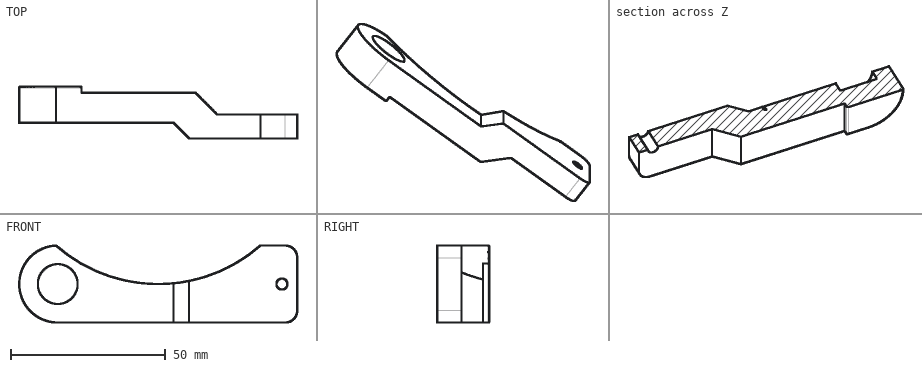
import cadquery as cq
import math

length = 90.0
height = 25.0
eye_radius = height / 2
mid_height = height / 2

boss_height = 2.0
boss_end_x = 20.2
eye_thickness = 9.74
tab_thickness = 7.87
front_step = 5.13
front_bend_end_x = 55.0
back_bend_x = 57.0

saddle_radius = 50.0
saddle_x = length / 2
saddle_low_z = mid_height

corner_radius = 4.0
boss_fillet = 0.5
pocket_diameter = 12.9
pocket_depth = 3.6
pin_diameter = 3.5
pin_edge_distance = 5.0

tab_back_y = tab_thickness
eye_front_y = front_step
eye_back_y = eye_front_y + eye_thickness
boss_back_y = eye_back_y + boss_height
back_step = eye_back_y - tab_back_y


def cylinder_along_y(x, z, radius, start_y, depth):
    """Cylinder running in +Y from start_y."""
    return cq.Workplane("XY").add(
        cq.Solid.makeCylinder(radius, depth, cq.Vector(x, start_y, z), cq.Vector(0, 1, 0))
    )


def side_profile():
    """Outline in XZ, extruded through the full Y depth: round eye, saddle, tab with rounded corners."""
    saddle_z = saddle_low_z + saddle_radius
    half_chord = math.sqrt(saddle_radius**2 - (saddle_z - height) ** 2)
    saddle_start_x = saddle_x - half_chord
    eye_top_z = mid_height + math.sqrt(eye_radius**2 - (saddle_start_x - eye_radius) ** 2)
    corner_inset = corner_radius * (1 - math.sqrt(0.5))
    return (
        cq.Workplane("XZ")
        .moveTo(eye_radius, 0)
        .lineTo(length - corner_radius, 0)
        .threePointArc((length - corner_inset, corner_inset), (length, corner_radius))
        .lineTo(length, height - corner_radius)
        .threePointArc((length - corner_inset, height - corner_inset), (length - corner_radius, height))
        .lineTo(saddle_x + half_chord, height)
        .threePointArc((saddle_x, saddle_low_z), (saddle_start_x, eye_top_z))
        .threePointArc((0, mid_height), (eye_radius, 0))
        .close()
        .extrude(-boss_back_y)
    )


def offset_profile():
    """Outline in XY of the cranked plate and the raised pad, extruded through the full height."""
    return (
        cq.Workplane("XY")
        .polyline([
            (0, eye_front_y),
            (front_bend_end_x - front_step, eye_front_y),
            (front_bend_end_x, 0),
            (length, 0),
            (length, tab_back_y),
            (back_bend_x + back_step, tab_back_y),
            (back_bend_x, eye_back_y),
            (boss_end_x, eye_back_y),
            (boss_end_x, boss_back_y),
            (0, boss_back_y),
        ])
        .close()
        .extrude(height)
    )


body = side_profile().intersect(offset_profile())
body = body.faces(">Y").fillet(boss_fillet)

pocket = cylinder_along_y(eye_radius, mid_height, pocket_diameter / 2, eye_front_y, pocket_depth)
pin_hole = cylinder_along_y(length - pin_edge_distance, mid_height, pin_diameter / 2, 0, tab_thickness)

result = body.cut(pocket).cut(pin_hole)